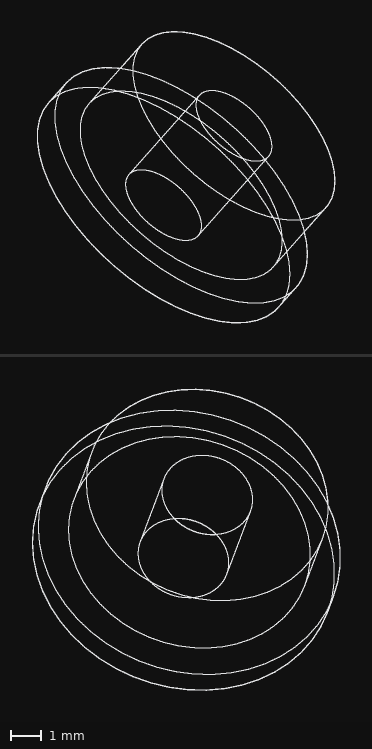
import cadquery as cq

flange_diameter = 10
flange_thickness = 1
sleeve_diameter = 8
sleeve_length = 3
bore_diameter = 3

flange = cq.Workplane("XZ").circle(flange_diameter / 2).extrude(-flange_thickness)

overall_length = flange_thickness + sleeve_length
sleeve = cq.Workplane("XZ").circle(sleeve_diameter / 2).extrude(-overall_length)

bore = cq.Workplane("XZ").circle(bore_diameter / 2).extrude(-overall_length)

result = flange.union(sleeve).cut(bore)